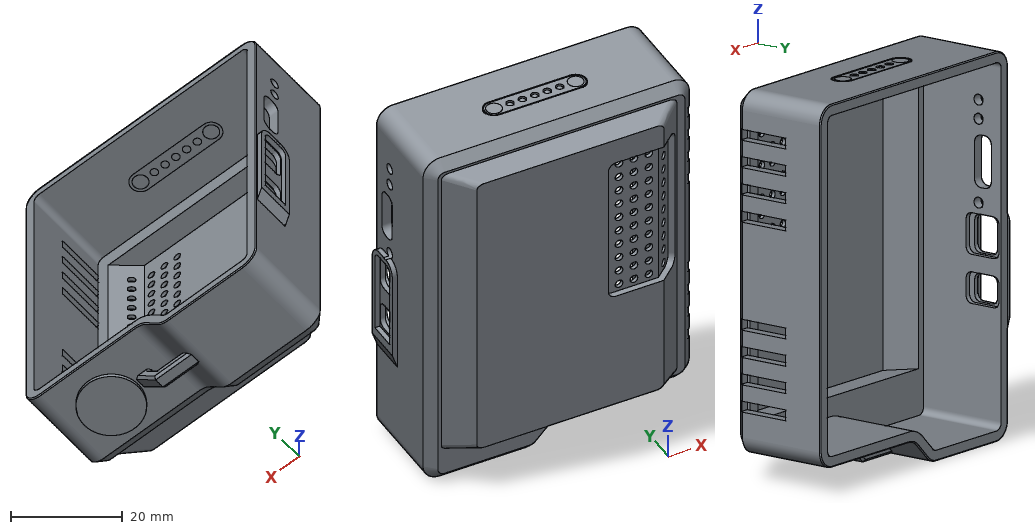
import cadquery as cq
import math


WIDTH = 54.0
HEIGHT = 72.0
TOTAL_DEPTH = 24.0
PANEL_RAISE = 4.25
FRONT_DEPTH = TOTAL_DEPTH - PANEL_RAISE
WALL = 2.0
LEFT = -WIDTH / 2
RIGHT = WIDTH / 2
CORNER_RADIUS = 3.35
FRONT_CHAMFER = 1.95
BACK_CHAMFER = 0.2

STEP_HEIGHT = 5.0
RAMP_START = -4.9
RAMP_END = RAMP_START + STEP_HEIGHT

PANEL_LEFT = LEFT + 2.7
PANEL_RIGHT = RIGHT - 3.6
PANEL_BOTTOM = 7.4
PANEL_TOP = HEIGHT - 2.45
PANEL_SIDE_RUN = 4.9
PANEL_END_RUN = 1.2
PANEL_EDGE_RADIUS = 1.3
SLOPE_ANGLE = math.atan2(PANEL_RAISE, PANEL_SIDE_RUN)

GRILLE_DEPTH = 1.2
GRILLE_WALL_TILT = math.radians(39)
GRILLE_LEFT = 7.3
GRILLE_RIGHT = 22.75
GRILLE_BOTTOM = 33.0
GRILLE_TOP = 63.15
GRILLE_LEFT_RADIUS = 1.45
GRILLE_RIGHT_RADIUS = 2.0
GRILLE_HOLE_DIAMETER = 1.5
GRILLE_PITCH = 3.0
GRILLE_ROWS = 10
GRILLE_FLAT_COLUMNS = 3
GRILLE_FIRST_X = 10.1
GRILLE_SLOPE_X = 20.0
GRILLE_MID_Z = (GRILLE_BOTTOM + GRILLE_TOP) / 2

LIGHT_DIAMETER = 2.0
LIGHT_DEPTH = 5.2
LIGHT_HEIGHTS = (62.1, 58.55, 43.1)
SOCKET_WIDTH = 3.8
SOCKET_LENGTH = 9.7
SOCKET_RADIUS = 1.5
SOCKET_DEPTH = 4.2
SOCKET_Z = 50.8
GUARD_THICKNESS = 1.0
GUARD_DEPTH = 4.25
GUARD_WIDTH = 7.6
GUARD_BOTTOM = 19.2
GUARD_TOP = 42.1
GUARD_RADIUS = 2.5
GUARD_SLOPE_HEIGHT = 2.9
GUARD_POCKET_WIDTH = 5.55
GUARD_POCKET_BOTTOM = 24.0
GUARD_POCKET_TOP = 41.05
GUARD_POCKET_RADIUS = 1.3
WINDOW_WIDTH = 5.2
WINDOW_RADIUS = 1.3
WINDOW_SPANS = ((24.5, 29.75), (33.55, 40.7))
WINDOW_WALL = 1.0
WINDOW_SIDE_MARGIN = 1.15
WINDOW_END_MARGIN = 0.3

VENT_HEIGHT = 2.0
VENT_PITCH = 5.05
VENTS_PER_GROUP = 4
VENT_GROUP_STARTS = (14.0, 49.05)
VENT_FRONT_DEPTH = FRONT_DEPTH - FRONT_CHAMFER + 0.4
VENT_BACK_DEPTH = 7.9

LOOP_THICKNESS = 3.0
LOOP_BOTTOM = 0.5
LOOP_BAR = 2.0
LOOP_CORNER_X = 3.9
LOOP_OPENING_RIGHT = 5.0
LOOP_EMBED = WALL / 2
LOOP_CHAMFER = 0.5
FOOT_DIAMETER = 12.7
FOOT_HEIGHT = 0.8
FOOT_X = 15.1
MID_DEPTH = 9.7

CONNECTOR_RADIUS = 2.1
CONNECTOR_CHAMFER = 0.2
MAGNET_DIAMETER = 3.0
MAGNET_OFFSET = 8.3
PIN_DIAMETER = 1.5
PIN_PITCH = 2.5
PIN_COUNT = 5


def centered_positions(count, pitch, middle):
    return [middle + (i - (count - 1) / 2) * pitch for i in range(count)]


def panel_surface_depth(x):
    """Depth of the +X slope of the raised panel at x."""
    return FRONT_DEPTH + (PANEL_RIGHT - x) * math.tan(SLOPE_ANGLE)


def housing_outline_block():
    outline = [
        (LEFT, 0),
        (RAMP_START, 0),
        (RAMP_END, STEP_HEIGHT),
        (RIGHT, STEP_HEIGHT),
        (RIGHT, HEIGHT),
        (LEFT, HEIGHT),
    ]
    block = cq.Workplane("XZ").polyline(outline).close().extrude(FRONT_DEPTH)
    return block.edges("|Y").fillet(CORNER_RADIUS)


def housing_shell():
    """Chamfered outer block, and the cavity that opens at the back."""
    block = housing_outline_block()
    cavity_outline = block.faces(">Y").wires().val().offset2D(-WALL)[0]
    cavity = cq.Workplane(cq.Solid.extrudeLinear(cavity_outline, [], cq.Vector(0, WALL - FRONT_DEPTH, 0)))
    block = block.faces("<Y").chamfer(FRONT_CHAMFER)
    block = block.faces(">Y").chamfer(BACK_CHAMFER)
    return block, cavity


def raised_panel():
    """Tapered panel on the front, with rounded slanting edges."""
    width = PANEL_RIGHT - PANEL_LEFT
    height = PANEL_TOP - PANEL_BOTTOM
    middle_x = (PANEL_LEFT + PANEL_RIGHT) / 2
    middle_z = (PANEL_BOTTOM + PANEL_TOP) / 2
    panel = (
        cq.Workplane("XZ", origin=(middle_x, -FRONT_DEPTH, middle_z))
        .rect(width, height)
        .workplane(offset=PANEL_RAISE)
        .rect(width - 2 * PANEL_SIDE_RUN, height - 2 * PANEL_END_RUN)
        .loft(ruled=True)
    )
    return panel.edges("not(#Y)").fillet(PANEL_EDGE_RADIUS)


def panel_cavity():
    """Hollow behind the raised panel, leaving a wall of even thickness."""
    cavity_depth = FRONT_DEPTH - WALL
    top_inset = PANEL_SIDE_RUN + WALL * math.tan(SLOPE_ANGLE / 2)
    base_inset = top_inset - (TOTAL_DEPTH - WALL - cavity_depth) / math.tan(SLOPE_ANGLE)
    section = [
        (PANEL_LEFT + base_inset, -cavity_depth),
        (PANEL_LEFT + top_inset, WALL - TOTAL_DEPTH),
        (PANEL_RIGHT - top_inset, WALL - TOTAL_DEPTH),
        (PANEL_RIGHT - base_inset, -cavity_depth),
    ]
    bottom = PANEL_BOTTOM + PANEL_END_RUN + WALL
    top = PANEL_TOP - PANEL_END_RUN - WALL
    return cq.Workplane("XY", origin=(0, 0, bottom)).polyline(section).close().extrude(top - bottom)


def grille_recess():
    """Pocket whose floor follows the flat and the slope, with a slanting wall on the +X side."""
    cut_depth = TOTAL_DEPTH + GRILLE_DEPTH
    tan_tilt = math.tan(GRILLE_WALL_TILT)
    floor_drop = GRILLE_DEPTH / math.cos(SLOPE_ANGLE)
    floor_depth = TOTAL_DEPTH - GRILLE_DEPTH
    fold_x = PANEL_RIGHT - PANEL_SIDE_RUN - GRILLE_DEPTH * math.tan(SLOPE_ANGLE / 2)
    wall_run = floor_drop / (math.tan(SLOPE_ANGLE) + tan_tilt)
    floor_end_x = GRILLE_RIGHT - wall_run
    floor_end_depth = panel_surface_depth(floor_end_x) - floor_drop
    section = [
        (GRILLE_LEFT, -cut_depth),
        (GRILLE_LEFT, -floor_depth),
        (fold_x, -floor_depth),
        (floor_end_x, -floor_end_depth),
        (floor_end_x + (cut_depth - floor_end_depth) / tan_tilt, -cut_depth),
    ]
    recess = (
        cq.Workplane("XY", origin=(0, 0, GRILLE_BOTTOM))
        .polyline(section)
        .close()
        .extrude(GRILLE_TOP - GRILLE_BOTTOM)
    )
    wall_direction = cq.Vector(1, -tan_tilt, 0)
    recess = recess.faces("<X").edges("|Y").fillet(GRILLE_LEFT_RADIUS)
    return recess.edges(cq.selectors.ParallelDirSelector(wall_direction)).fillet(GRILLE_RIGHT_RADIUS)


def grille_holes():
    radius = GRILLE_HOLE_DIAMETER / 2
    row_heights = centered_positions(GRILLE_ROWS, GRILLE_PITCH, GRILLE_MID_Z)
    flat_points = [
        (GRILLE_FIRST_X + column * GRILLE_PITCH, z)
        for column in range(GRILLE_FLAT_COLUMNS)
        for z in row_heights
    ]
    holes = cq.Workplane("XZ").pushPoints(flat_points).circle(radius).extrude(TOTAL_DEPTH)

    inward = cq.Vector(-math.sin(SLOPE_ANGLE), math.cos(SLOPE_ANGLE), 0)
    floor_drop = GRILLE_DEPTH / math.cos(SLOPE_ANGLE)
    floor_y = -(panel_surface_depth(GRILLE_SLOPE_X) - floor_drop)
    length = GRILLE_DEPTH + 2 * WALL
    for z in row_heights:
        start = cq.Vector(GRILLE_SLOPE_X, floor_y, z) - inward * GRILLE_DEPTH
        holes.add(cq.Solid.makeCylinder(radius, length, start, inward))
    return holes


def rounded_bar_x(x_start, length, depth, width, bottom, top, radius):
    """Rounded rectangle on the left side, extruded along +X."""
    return (
        cq.Workplane("YZ", origin=(x_start, -depth, (bottom + top) / 2))
        .rect(width, top - bottom)
        .extrude(length)
        .edges("|X")
        .fillet(radius)
    )


def switch_guard():
    """Raised frame with rounded upper corners and a sloping lower end."""
    profile = [
        (LEFT, GUARD_BOTTOM),
        (LEFT, GUARD_TOP),
        (LEFT - GUARD_THICKNESS, GUARD_TOP),
        (LEFT - GUARD_THICKNESS, GUARD_BOTTOM + GUARD_SLOPE_HEIGHT),
    ]
    guard = (
        cq.Workplane("XZ", origin=(0, -(GUARD_DEPTH - GUARD_WIDTH / 2), 0))
        .polyline(profile)
        .close()
        .extrude(GUARD_WIDTH)
    )
    guard = guard.faces(">Z").edges("|X").fillet(GUARD_RADIUS)
    pocket = (
        cq.Workplane("YZ", origin=(LEFT, -GUARD_DEPTH, (GUARD_POCKET_BOTTOM + GUARD_POCKET_TOP) / 2))
        .rect(GUARD_POCKET_WIDTH, GUARD_POCKET_TOP - GUARD_POCKET_BOTTOM)
        .extrude(-GUARD_THICKNESS)
        .faces(">Z")
        .edges("|X")
        .fillet(GUARD_POCKET_RADIUS)
    )
    return guard.cut(pocket)


def left_side_openings():
    """Through openings, with the wall thinned from inside around each guard window."""
    start = LEFT - GUARD_THICKNESS
    length = GUARD_THICKNESS + WALL
    light_points = [(-LIGHT_DEPTH, z) for z in LIGHT_HEIGHTS]
    openings = (
        cq.Workplane("YZ", origin=(start, 0, 0))
        .pushPoints(light_points)
        .circle(LIGHT_DIAMETER / 2)
        .extrude(length)
    )
    socket_bottom = SOCKET_Z - SOCKET_LENGTH / 2
    socket_top = SOCKET_Z + SOCKET_LENGTH / 2
    openings.add(
        rounded_bar_x(start, length, SOCKET_DEPTH, SOCKET_WIDTH, socket_bottom, socket_top, SOCKET_RADIUS)
    )
    for bottom, top in WINDOW_SPANS:
        openings.add(rounded_bar_x(start, length, GUARD_DEPTH, WINDOW_WIDTH, bottom, top, WINDOW_RADIUS))
        openings.add(
            rounded_bar_x(
                LEFT + WINDOW_WALL,
                WALL - WINDOW_WALL,
                GUARD_DEPTH,
                WINDOW_WIDTH + 2 * WINDOW_SIDE_MARGIN,
                bottom - WINDOW_END_MARGIN,
                top + WINDOW_END_MARGIN,
                WINDOW_RADIUS,
            )
        )
    return openings


def vent_slots():
    vent_points = [
        (-(VENT_FRONT_DEPTH + VENT_BACK_DEPTH) / 2, start + i * VENT_PITCH)
        for start in VENT_GROUP_STARTS
        for i in range(VENTS_PER_GROUP)
    ]
    return (
        cq.Workplane("YZ", origin=(RIGHT - WALL, 0, 0))
        .pushPoints(vent_points)
        .rect(VENT_FRONT_DEPTH - VENT_BACK_DEPTH, VENT_HEIGHT)
        .extrude(WALL)
    )


def strap_loop():
    """Bent bar from the ramp to the raised part of the underside, its ends embedded in the walls."""
    end_z = STEP_HEIGHT + LOOP_EMBED
    inner_z = LOOP_BOTTOM + LOOP_BAR
    ramp_shift = RAMP_START - LOOP_EMBED
    inner_corner_x = LOOP_CORNER_X + LOOP_BAR * (1 - math.sqrt(2))
    outline = [
        (ramp_shift + LOOP_BOTTOM, LOOP_BOTTOM),
        (LOOP_CORNER_X, LOOP_BOTTOM),
        (LOOP_CORNER_X + end_z - LOOP_BOTTOM, end_z),
        (LOOP_OPENING_RIGHT, end_z),
        (LOOP_OPENING_RIGHT, inner_z + LOOP_OPENING_RIGHT - inner_corner_x),
        (inner_corner_x, inner_z),
        (ramp_shift + inner_z, inner_z),
    ]
    back_plane = cq.Workplane("XZ", origin=(0, -(MID_DEPTH - LOOP_THICKNESS / 2), 0))
    bar = back_plane.polyline(outline).close().extrude(LOOP_THICKNESS)
    return bar.faces("<Y or >Y").edges().chamfer(LOOP_CHAMFER)


def round_foot():
    return (
        cq.Workplane("XY", origin=(FOOT_X, -MID_DEPTH, STEP_HEIGHT - FOOT_HEIGHT))
        .circle(FOOT_DIAMETER / 2)
        .extrude(FOOT_HEIGHT)
    )


def connector_blank():
    """Block with round ends filling the connector opening in the top wall."""
    length = 2 * (MAGNET_OFFSET + CONNECTOR_RADIUS)
    return (
        cq.Workplane("XY", origin=(0, -MID_DEPTH, HEIGHT - WALL))
        .slot2D(length, 2 * CONNECTOR_RADIUS)
        .extrude(WALL)
    )


def make_magnet(x):
    """Cylindrical magnet flush with the top face."""
    return (
        cq.Workplane("XY", origin=(x, -MID_DEPTH, HEIGHT - WALL)).circle(MAGNET_DIAMETER / 2).extrude(WALL)
    )


def make_pin(x):
    """Contact pin with a domed tip level with the top face."""
    radius = PIN_DIAMETER / 2
    profile = (
        cq.Workplane("XZ", origin=(x, -MID_DEPTH, HEIGHT - WALL))
        .lineTo(radius, 0)
        .lineTo(radius, WALL - radius)
        .radiusArc((0, WALL), -radius)
        .close()
    )
    return profile.revolve(360, (0, 0, 0), (0, 1, 0))


def make_connector_plate():
    plate = connector_blank().faces(">Z").edges().chamfer(CONNECTOR_CHAMFER)
    holes = cq.Workplane("XY", origin=(0, -MID_DEPTH, HEIGHT - WALL))
    magnet_holes = holes.pushPoints([(x, 0) for x in magnet_positions]).circle(MAGNET_DIAMETER / 2)
    plate = plate.cut(magnet_holes.extrude(WALL))
    pin_holes = holes.pushPoints([(x, 0) for x in pin_positions]).circle(PIN_DIAMETER / 2)
    return plate.cut(pin_holes.extrude(WALL))


def make_housing():
    block, cavity = housing_shell()
    housing = block.union(raised_panel()).union(round_foot()).union(strap_loop()).union(switch_guard())
    housing = housing.cut(cavity).cut(panel_cavity()).cut(grille_recess())
    for tool in grille_holes().vals():
        housing = housing.cut(cq.Workplane(tool))
    for tool in left_side_openings().vals():
        housing = housing.cut(cq.Workplane(tool))
    return housing.cut(vent_slots()).cut(connector_blank())


magnet_positions = (-MAGNET_OFFSET, MAGNET_OFFSET)
pin_positions = centered_positions(PIN_COUNT, PIN_PITCH, 0)

housing = make_housing()
connector_plate = make_connector_plate()
magnets = [make_magnet(x) for x in magnet_positions]
pins = [make_pin(x) for x in pin_positions]

result = cq.Compound.makeCompound(
    [
        housing.val(),
        connector_plate.val(),
        *[magnet.val() for magnet in magnets],
        *[pin.val() for pin in pins],
    ]
)